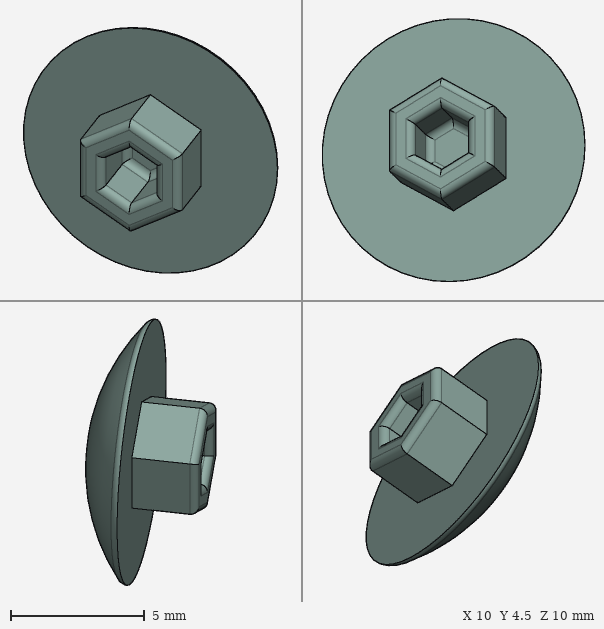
import cadquery as cq
import math

head_diameter = 10.0
head_height = 2.0
rim_radius = 0.3
rim_sweep = math.radians(60)

stem_width = 4.0
stem_length = 2.5
stem_fillet = 0.3

socket_width = 2.02
socket_depth = stem_length
socket_fillet = 0.3


def hex_prism(width, length):
    """Hexagonal prism from Y = 0 towards -Y, with two flats facing +X and -X."""
    corner_diameter = width / math.cos(math.pi / 6)
    return (
        cq.Workplane("XZ")
        .transformed(rotate=(0, 0, 90))
        .polygon(6, corner_diameter)
        .extrude(length)
    )


def domed_head():
    """Half profile revolved about Y: flat base, rounded rim and spherical dome."""
    head_radius = head_diameter / 2
    rim_center = head_radius - rim_radius

    def rim_point(angle):
        return (rim_center + rim_radius * math.cos(angle), rim_radius * math.sin(angle))

    rim_end = rim_point(rim_sweep)
    dome_radius_at_rim, rim_height = rim_end
    dome_rise = head_height - rim_height
    sphere_radius = (dome_radius_at_rim**2 + dome_rise**2) / (2 * dome_rise)
    half_angle = math.asin(dome_radius_at_rim / sphere_radius) / 2
    dome_middle = (
        sphere_radius * math.sin(half_angle),
        head_height - sphere_radius * (1 - math.cos(half_angle)),
    )
    return (
        cq.Workplane("XY")
        .lineTo(head_radius, 0)
        .threePointArc(rim_point(rim_sweep / 2), rim_end)
        .threePointArc(dome_middle, (0, head_height))
        .close()
        .revolve(360, (0, 0), (0, 1))
    )


stem = hex_prism(stem_width, stem_length).faces("<Y").edges().fillet(stem_fillet)

socket = (
    hex_prism(socket_width, socket_depth)
    .translate((0, socket_depth - stem_length, 0))
    .faces(">Y")
    .edges()
    .fillet(socket_fillet)
)
mouth_reach = 0.6 * socket_width
mouth_margin = 0.01
mouth_edges = cq.selectors.BoxSelector(
    (-mouth_reach, -stem_length - mouth_margin, -mouth_reach),
    (mouth_reach, -stem_length + mouth_margin, mouth_reach),
    boundingbox=True,
)

result = domed_head().union(stem).cut(socket).edges(mouth_edges).fillet(socket_fillet)